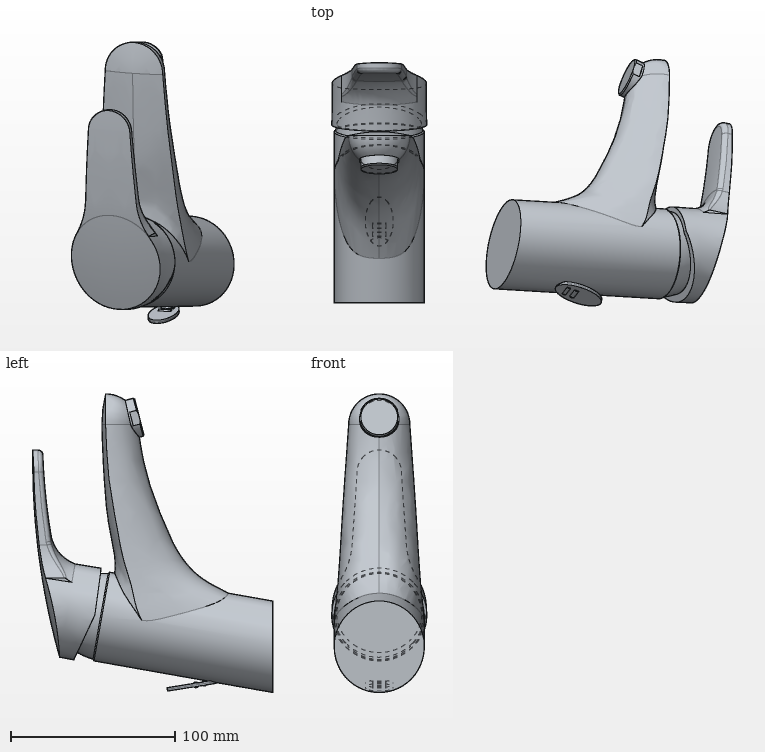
import cadquery as cq
import math


tube_tilt = math.radians(10)
tube_radius = 27.5
tube_end = 105.8
tube_start = -2 * tube_radius * math.tan(tube_tilt)
collar_step = 0.8
neck_radius = 26.6
neck_end = 116.6
neck_end_radius = 24.2
neck_bulge = 0.25

spout_tip_z = 154.1
spout_tip_radius = 18.7
spout_sections = [
    (14.5, 27.42, 2.0, 79.0, 103.0),
    (22.0, 27.0, 8.0, 82.5, 102.5),
    (32.0, 25.8, 25.6, 85.0, 101.5),
    (42.3, 24.9, 44.0, 87.7, 97.0),
    (52.5, 24.2, 54.1, 90.8, 96.2),
    (74.0, 22.9, 65.6, 95.2, 99.9),
    (100.3, 21.2, 75.4, 99.6, 102.7),
    (114.0, 20.2, 78.9, 100.9, 103.5),
    (126.0, 19.4, 81.0, 101.5, 104.0),
    (spout_tip_z - spout_tip_radius, spout_tip_radius, 82.5, 101.9, 104.2),
]

outlet_y = 81.3
outlet_z = 140.0
outlet_tilt = 14.4
outlet_radius = 12.0
outlet_length = 12.0
outlet_chamfer = 0.8
outlet_flat_half = 11.2
outlet_flat_length = 5.0

cap_rim_radius = 29.045
cap_back_radius = 28.6
cap_start = 109.9
cap_end = 150.0
cap_rim_top = (104.6, 47.6)
cap_rim_side = (108.4, 19.5)
cap_rim_bottom = (121.3, -8.1)

dome_bottom = (127.0, -16.3)
dome_middle = (142.2, 52.5)
dome_top = (146.22, 124.0)
dome_radius = 123.0

lever_root = (116.6, 49.5)
lever_root_middle = (127.9, 55.0)
lever_neck = (134.8, 66.4)
lever_grip = (138.1, 89.8)
lever_front_top = (140.2, 124.0)
lever_tip_z = 119.9
lever_tip_half = 13.5
lever_neck_half = 16.5
lever_neck_z = 62.0
lever_flare_half = 23.0
lever_flare_middle_half = 18.45
lever_flare_z = 42.0
lever_base_z = 25.0
lever_edge_radius = 3.0

plate_centre_y = 49.6
plate_centre_z = -23.6
plate_tilt = 9.0
plate_half_length = 15.0
plate_half_width = 8.5
plate_thickness = 2.2
plate_bars = [(2.7, 1.8), (7.9, 1.6)]
plate_bar_length = 8.0


def on_axis(station, radius=0.0):
    """YZ point at a station along the tube axis, offset by a radius toward +Z."""
    y = station * math.cos(tube_tilt) - radius * math.sin(tube_tilt)
    z = station * math.sin(tube_tilt) + radius * math.cos(tube_tilt)
    return (y, z)


def spin(profile):
    """Revolve a closed YZ profile about the tube axis."""
    return profile.close().revolve(360, on_axis(0), on_axis(1))


def yz_prism(profile):
    """Extrude a closed YZ profile evenly to both sides."""
    return profile.close().extrude(2 * cap_rim_radius, both=True)


def make_tube():
    middle_station = (tube_end + collar_step + neck_end) / 2
    middle_radius = (neck_radius + neck_end_radius) / 2 + neck_bulge
    inner_end = neck_end + collar_step
    tube = spin(
        cq.Workplane("YZ")
        .moveTo(*on_axis(tube_start))
        .lineTo(*on_axis(tube_start, tube_radius))
        .lineTo(*on_axis(tube_end, tube_radius))
        .lineTo(*on_axis(tube_end + collar_step, neck_radius))
        .threePointArc(on_axis(middle_station, middle_radius), on_axis(neck_end, neck_end_radius))
        .lineTo(*on_axis(inner_end, neck_end_radius))
        .lineTo(*on_axis(inner_end))
    )
    size = 4 * tube_radius
    behind_wall = cq.Workplane("XY").box(size, size, size).translate((0, -size / 2, 0))
    return tube.cut(behind_wall)


def spout_section_edges(half_width, front_y, crease_y, back_y):
    """Right half of a D-shaped section at z = 0: quarter ellipse in front, shallow arc behind."""
    depth = crease_y - front_y
    sag = back_y - crease_y
    back_radius = (half_width**2 + sag**2) / (2 * sag)
    middle_x = half_width / 2
    middle_y = back_y - back_radius + math.sqrt(back_radius**2 - middle_x**2)
    front = cq.Edge.makeEllipse(
        depth,
        half_width,
        pnt=cq.Vector(0, crease_y, 0),
        dir=cq.Vector(0, 0, 1),
        xdir=cq.Vector(0, -1, 0),
        angle1=0,
        angle2=90,
    )
    back = cq.Edge.makeThreePointArc(
        cq.Vector(half_width, crease_y, 0),
        cq.Vector(middle_x, middle_y, 0),
        cq.Vector(0, back_y, 0),
    )
    return [front, back]


def spout_section(height, *sizes):
    """Full closed section at its height."""
    right = spout_section_edges(*sizes)
    left = [edge.mirror("YZ") for edge in right]
    return cq.Wire.assembleEdges(right + left[::-1]).translate(cq.Vector(0, 0, height))


def make_spout():
    horn = cq.Solid.makeLoft([spout_section(*section) for section in spout_sections])
    top_z, _, front_y, _, back_y = spout_sections[-1]
    front = cq.Vector(0, front_y, 0)
    back = cq.Vector(0, back_y, 0)
    half_section = spout_section_edges(*spout_sections[-1][1:]) + [cq.Edge.makeLine(back, front)]
    tip = cq.Solid.revolve(cq.Wire.assembleEdges(half_section), [], 180, back, front)
    return cq.Workplane(horn).union(cq.Workplane(tip.translate(cq.Vector(0, 0, top_z))))


def make_outlet():
    outlet = (
        cq.Workplane("XY")
        .circle(outlet_radius)
        .extrude(outlet_length)
        .faces(">Z")
        .chamfer(outlet_chamfer)
    )
    for side in (-1, 1):
        flat = cq.Workplane("XY").box(outlet_radius, 2 * outlet_radius, outlet_flat_length)
        outlet = outlet.cut(
            flat.translate(
                (
                    side * (outlet_flat_half + outlet_radius / 2),
                    0,
                    outlet_length - outlet_flat_length / 2,
                )
            )
        )
    return (
        outlet.translate((0, 0, -outlet_length))
        .rotate((0, 0, 0), (1, 0, 0), 90 - outlet_tilt)
        .translate((0, outlet_y, outlet_z))
    )


def make_back_dome():
    """Barrel whose outer surface is the crowned back of the handle."""
    rise_y = dome_top[0] - dome_bottom[0]
    rise_z = dome_top[1] - dome_bottom[1]
    chord = math.hypot(rise_y, rise_z)
    inward_y = -dome_radius * rise_z / chord
    inward_z = dome_radius * rise_y / chord
    axis_bottom = (dome_bottom[0] + inward_y, dome_bottom[1] + inward_z)
    axis_top = (dome_top[0] + inward_y, dome_top[1] + inward_z)
    return (
        cq.Workplane("YZ")
        .moveTo(*axis_bottom)
        .lineTo(*dome_bottom)
        .threePointArc(dome_middle, dome_top)
        .lineTo(*axis_top)
        .close()
        .revolve(360, axis_bottom, axis_top)
    )


def make_cap():
    cap = spin(
        cq.Workplane("YZ")
        .moveTo(*on_axis(cap_start))
        .lineTo(*on_axis(cap_start, cap_rim_radius))
        .lineTo(*on_axis(cap_end, cap_back_radius))
        .lineTo(*on_axis(cap_end))
    )
    top_y, top_z = cap_rim_top
    side_y, side_z = cap_rim_side
    bottom_y, bottom_z = cap_rim_bottom
    over = 1.5
    in_front_of_rim = yz_prism(
        cq.Workplane("YZ")
        .moveTo(top_y + over * (top_y - side_y), top_z + over * (top_z - side_z))
        .lineTo(side_y, side_z)
        .lineTo(bottom_y + over * (bottom_y - side_y), bottom_z + over * (bottom_z - side_z))
        .lineTo(0, bottom_z + over * (bottom_z - side_z))
        .lineTo(0, top_z + over * (top_z - side_z))
    )
    return cap.cut(in_front_of_rim)


def round_front_edges(lever):
    """Round the rim of the grip on the side facing the spout."""
    margin = 1.0
    grip_box = cq.selectors.BoxSelector(
        (-lever_neck_half - margin, lever_neck[0] - margin, lever_neck[1] + margin),
        (lever_neck_half + margin, lever_front_top[0] + margin, lever_tip_z + margin),
    )
    return lever.edges(grip_box).fillet(lever_edge_radius)


def make_lever():
    flange = spin(
        cq.Workplane("YZ")
        .moveTo(*on_axis(neck_end))
        .lineTo(*on_axis(neck_end, cap_back_radius))
        .lineTo(*lever_root)
        .threePointArc(lever_root_middle, lever_neck)
        .threePointArc(lever_grip, lever_front_top)
        .lineTo(*on_axis(2 * neck_end, lever_front_top[1]))
        .lineTo(*on_axis(2 * neck_end))
    )
    shoulder_z = lever_tip_z - lever_tip_half
    flare_middle_z = (lever_neck_z + lever_flare_z) / 2
    outline = (
        cq.Workplane("XZ")
        .moveTo(-lever_flare_half, lever_base_z)
        .lineTo(-lever_flare_half, lever_flare_z)
        .threePointArc((-lever_flare_middle_half, flare_middle_z), (-lever_neck_half, lever_neck_z))
        .lineTo(-lever_tip_half, shoulder_z)
        .threePointArc((0, lever_tip_z), (lever_tip_half, shoulder_z))
        .lineTo(lever_neck_half, lever_neck_z)
        .threePointArc((lever_flare_middle_half, flare_middle_z), (lever_flare_half, lever_flare_z))
        .lineTo(lever_flare_half, lever_base_z)
        .close()
        .extrude(-2 * neck_end)
    )
    lever = flange.intersect(outline).intersect(make_back_dome())
    return round_front_edges(lever)


def make_handle():
    return make_cap().union(make_lever()).intersect(make_back_dome())


def make_plate():
    plate = (
        cq.Workplane("XY")
        .ellipse(plate_half_width, plate_half_length)
        .extrude(plate_thickness / 2, both=True)
    )
    for distance, radius in plate_bars:
        bar = cq.Workplane("YZ").center(-distance, 0).circle(radius)
        plate = plate.union(bar.extrude(plate_bar_length / 2, both=True))
    return plate.rotate((0, 0, 0), (1, 0, 0), -plate_tilt).translate(
        (0, plate_centre_y, plate_centre_z)
    )


result = (
    make_tube()
    .union(make_spout())
    .union(make_outlet())
    .union(make_handle())
    .union(make_plate())
)